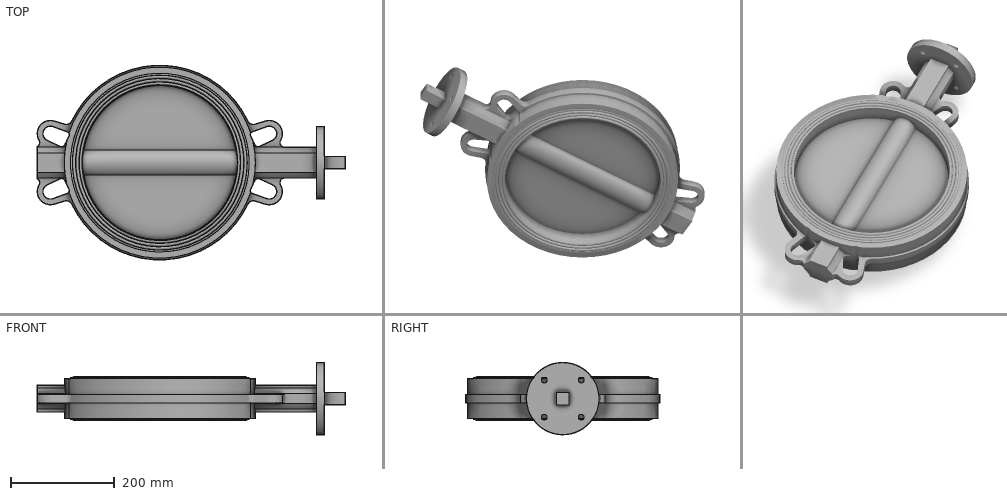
import cadquery as cq
import math


overall_length = 595.0

body_radius = 184.5
body_height = 77.5
rib_radius = 188.0
rib_thickness = 16.0

step_radius = 172.5
step_height = 2.0
bead_count = 3
bead_radius = 3.0
bead_pitch = 6.5
bead_floor_height = 0.5
bead_band_radius = 169.0

bore_mouth_radius = 150.5
bore_throat_radius = 149.0
disc_thickness = 20.0
disc_shaft_radius = 26.0

neck_left = -237.0
neck_half_width = 30.0
neck_half_height = 26.0
neck_top_half_width = 19.0
neck_slope_low = 9.5
neck_slope_high = neck_slope_low + neck_half_width - neck_top_half_width

flange_left = 302.0
flange_thickness = 15.5
flange_right = flange_left + flange_thickness
flange_diameter = 140.0
bolt_spacing = 71.5
bolt_hole_diameter = 11.0
stem_side = 24.0
stem_right = neck_left + overall_length

lobe_x = 211.0
lobe_y = 56.0
lobe_radius = 25.5
lug_side_angle = math.radians(17)
rib_blend_radius = 12.0
neck_blend_radius = 9.0

slot_corners = [
    (lobe_x, lobe_y, 14.0),
    (190.0, 38.0, 7.0),
    (180.0, 54.0, 5.5),
]


def disc_plate(radius, thickness):
    """Round plate centred on the origin."""
    return cq.Workplane("XY").circle(radius).extrude(thickness / 2, both=True)


def in_four_quadrants(shape):
    """Fuse a first-quadrant shape with its mirror images in X and Y."""
    half = shape.union(shape.mirror("YZ"))
    return half.union(half.mirror("XZ"))


def make_ring():
    """Body, rib, seat steps and beads as one solid block without a bore."""
    ring = disc_plate(body_radius, body_height)
    ring = ring.union(disc_plate(rib_radius, rib_thickness))
    ring = ring.union(disc_plate(step_radius, body_height + 2 * step_height))
    bead_z = body_height / 2 + bead_floor_height
    band = (
        cq.Workplane("XY", origin=(0, 0, bead_z))
        .circle(bead_band_radius)
        .extrude(step_height)
    )
    ring = ring.cut(band).cut(band.mirror("XY"))
    for index in range(bead_count):
        centre_radius = bead_band_radius - (index + 0.5) * bead_pitch
        bead = (
            cq.Workplane("XZ")
            .center(centre_radius, bead_z)
            .circle(bead_radius)
            .revolve(360, (-centre_radius, 0), (-centre_radius, 1))
        )
        ring = ring.union(bead).union(bead.mirror("XY"))
    return ring


def make_bore():
    """Tapered recess above the disc, mirrored below it."""
    disc_z = disc_thickness / 2
    mouth_z = body_height / 2
    over_z = mouth_z + 6.0
    upper = (
        cq.Workplane("XZ")
        .polyline([
            (0, disc_z), (bore_throat_radius, disc_z), (bore_mouth_radius, mouth_z),
            (bore_mouth_radius, over_z), (0, over_z),
        ])
        .close()
        .revolve(360, (0, 0), (0, 1))
    )
    return upper.union(upper.mirror("XY"))


def make_lug():
    """First-quadrant lug plate, blended into the rib and the neck side."""
    nx, ny = -math.sin(lug_side_angle), math.cos(lug_side_angle)
    tangent_point = (lobe_x + lobe_radius * nx, lobe_y + lobe_radius * ny)
    line_offset = lobe_x * nx + lobe_y * ny + lobe_radius

    across = line_offset + rib_blend_radius
    along = math.sqrt((rib_radius + rib_blend_radius) ** 2 - across ** 2)
    rib_blend = (across * nx + along * ny, across * ny - along * nx)
    rib_blend_touch = (rib_blend[0] - rib_blend_radius * nx, rib_blend[1] - rib_blend_radius * ny)

    neck_blend_y = neck_half_width + neck_blend_radius
    reach = lobe_radius + neck_blend_radius
    neck_blend_x = lobe_x + math.sqrt(reach ** 2 - (lobe_y - neck_blend_y) ** 2)
    neck_blend = (neck_blend_x, neck_blend_y)

    root_radius = 154.5
    root_scale = root_radius / (rib_radius + rib_blend_radius)
    web_outline = [
        (root_radius, neck_half_width),
        (neck_blend_x, neck_half_width),
        neck_blend,
        (lobe_x, lobe_y),
        tangent_point,
        rib_blend_touch,
        rib_blend,
        (rib_blend[0] * root_scale, rib_blend[1] * root_scale),
    ]
    web = cq.Workplane("XY").polyline(web_outline).close()
    web = web.extrude(rib_thickness / 2, both=True)
    for radius, (x, y) in ((rib_blend_radius, rib_blend), (neck_blend_radius, neck_blend)):
        web = web.cut(disc_plate(radius, rib_thickness).translate((x, y, 0)))
    lobe = disc_plate(lobe_radius, rib_thickness).translate((lobe_x, lobe_y, 0))
    return web.union(lobe)


def make_lug_slot():
    """Rounded three-cornered slot, tall enough to groove the body side."""
    outline = cq.Sketch()
    for x, y, radius in slot_corners:
        outline = outline.arc((x, y), radius, 0, 360)
    outline = outline.hull()
    return cq.Workplane("XY").placeSketch(outline).extrude(body_height, both=True)


def make_neck():
    """Neck bar through the body from the closed end to the flange."""
    quarter = [
        (neck_half_width, neck_slope_low),
        (neck_top_half_width, neck_slope_high),
        (neck_top_half_width, neck_half_height),
    ]
    upper = quarter + [(-y, z) for y, z in reversed(quarter)]
    lower = [(-y, -z) for y, z in upper]
    section = cq.Workplane("YZ", origin=(neck_left, 0, 0)).polyline(upper + lower)
    return section.close().extrude(flange_left - neck_left)


def make_flange():
    """Actuator flange with four bolt holes and the square drive stem."""
    flange = (
        cq.Workplane("YZ", origin=(flange_left, 0, 0))
        .circle(flange_diameter / 2)
        .extrude(flange_thickness)
        .faces(">X")
        .workplane()
        .rect(bolt_spacing, bolt_spacing, forConstruction=True)
        .vertices()
        .hole(bolt_hole_diameter)
    )
    stem = (
        cq.Workplane("YZ", origin=(flange_right, 0, 0))
        .rect(stem_side, stem_side)
        .extrude(stem_right - flange_right)
    )
    return flange.union(stem)


def make_disc_shaft():
    """Round shaft swelling across the disc, ending in the bore wall."""
    return (
        cq.Workplane("YZ")
        .circle(disc_shaft_radius)
        .extrude(bore_mouth_radius, both=True)
    )


trim_size = 2 * overall_length
end_trim = cq.Workplane("XY").box(trim_size, trim_size, trim_size)
end_trim = end_trim.translate((neck_left - trim_size / 2, 0, 0))
lugs = in_four_quadrants(make_lug()).cut(end_trim)

result = make_ring().union(lugs).cut(in_four_quadrants(make_lug_slot()))
result = result.union(make_neck()).cut(make_bore())
result = result.union(make_disc_shaft()).union(make_flange())